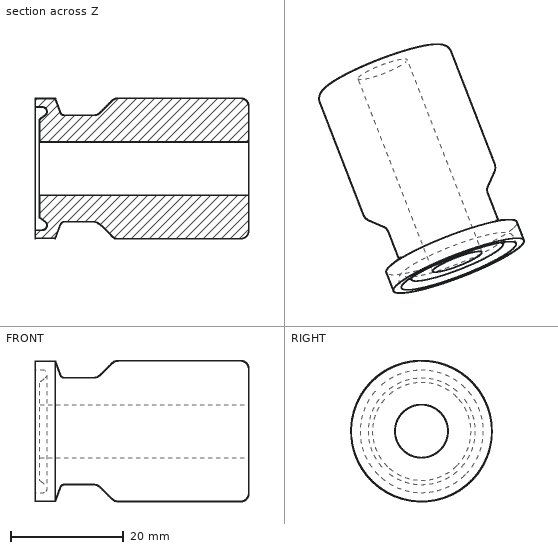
import cadquery as cq
import math


length = 38.1
body_radius = 25.15 / 2
flange_radius = 25.0 / 2
neck_radius = 19.05 / 2
bore_radius = 9.4 / 2

flange_rim_width = 3.62
flange_slope_angle = 20.0
flange_fillet = 0.72
neck_start = flange_rim_width + (flange_radius - neck_radius) * math.tan(math.radians(flange_slope_angle))

shoulder_start = 11.13
shoulder_angle = 45.0
shoulder_end = shoulder_start + (body_radius - neck_radius) / math.tan(math.radians(shoulder_angle))
shoulder_fillet = 1.52
body_end_fillet = 1.52

recess_radius = 21.9 / 2
recess_wall_depth = 1.3
sealing_face_depth = 0.75
groove_radius = 0.8
groove_flank_angle = 37.0

cutter_overshoot = 0.4
selection_margin = 0.05


def revolve_about_axis(profile):
    return profile.revolve(360, (0, 0, 0), (1, 0, 0))


def round_edge(solid, x, radius, fillet):
    """Fillet the circular edge of the given radius at position x."""
    reach = radius + selection_margin
    edge_box = cq.selectors.BoxSelector(
        (x - selection_margin, -reach, -reach),
        (x + selection_margin, reach, reach),
    )
    return solid.edges("%CIRCLE").edges(edge_box).fillet(fillet)


def make_body():
    """Solid turned body with its rounded corners."""
    profile = (
        cq.Workplane("XY")
        .lineTo(0, flange_radius)
        .lineTo(flange_rim_width, flange_radius)
        .lineTo(neck_start, neck_radius)
        .lineTo(shoulder_start, neck_radius)
        .lineTo(shoulder_end, body_radius)
        .lineTo(length, body_radius)
        .lineTo(length, 0)
        .close()
    )
    body = revolve_about_axis(profile)
    rounded_edges = [
        (neck_start, neck_radius, flange_fillet),
        (shoulder_start, neck_radius, shoulder_fillet),
        (shoulder_end, body_radius, shoulder_fillet),
        (length, body_radius, body_end_fillet),
    ]
    for x, radius, fillet in rounded_edges:
        body = round_edge(body, x, radius, fillet)
    return body


def make_recess_cutter():
    """Recess with a straight outer wall, a round-bottomed groove and a conical inner flank."""
    angle = math.radians(groove_flank_angle)
    groove_center_radius = recess_radius - groove_radius
    groove_bottom = (recess_wall_depth + groove_radius, groove_center_radius)
    flank_x = recess_wall_depth + groove_radius * math.sin(angle)
    flank_radius = groove_center_radius - groove_radius * math.cos(angle)
    sealing_face_radius = flank_radius - (flank_x - sealing_face_depth) * math.tan(angle)
    profile = (
        cq.Workplane("XY")
        .moveTo(-cutter_overshoot, 0)
        .lineTo(-cutter_overshoot, recess_radius)
        .lineTo(recess_wall_depth, recess_radius)
        .threePointArc(groove_bottom, (flank_x, flank_radius))
        .lineTo(sealing_face_depth, sealing_face_radius)
        .lineTo(sealing_face_depth, 0)
        .close()
    )
    return revolve_about_axis(profile)


bore = cq.Workplane("YZ").circle(bore_radius).extrude(length)

result = make_body().cut(make_recess_cutter()).cut(bore)